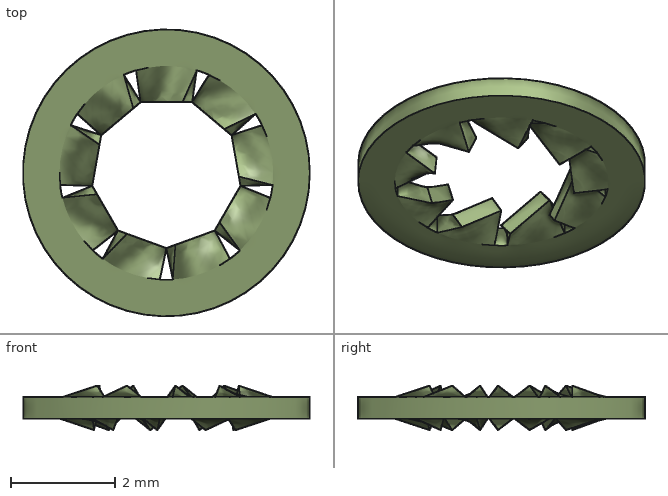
import cadquery as cq
import math

OUTER_RADIUS = 2.75
INNER_RADIUS = 2.045
RING_THICKNESS = 0.42

TOOTH_COUNT = 9
ROOT_WIDTH = 1.165
TIP_DISTANCE = 1.355
TIP_WIDTH = 1.005
TIP_THICKNESS = 0.315
TWIST_ANGLE = 36.9


def root_arc(z):
    """Arc on the ring bore that bounds the root of the +Y tooth at height z."""
    half_width = ROOT_WIDTH / 2
    chord_distance = math.sqrt(INNER_RADIUS**2 - half_width**2)
    return cq.Edge.makeThreePointArc(
        cq.Vector(-half_width, chord_distance, z),
        cq.Vector(0, INNER_RADIUS, z),
        cq.Vector(half_width, chord_distance, z),
    )


def tip_corner(along_width, along_thickness):
    """Corner of the twisted tip rectangle, from its offsets before twisting."""
    twist = math.radians(TWIST_ANGLE)
    x = along_width * math.cos(twist) - along_thickness * math.sin(twist)
    z = along_width * math.sin(twist) + along_thickness * math.cos(twist)
    return cq.Vector(x, TIP_DISTANCE, z)


def tip_edge(along_thickness):
    """Long edge of the tip rectangle."""
    return cq.Edge.makeLine(
        tip_corner(-TIP_WIDTH / 2, along_thickness),
        tip_corner(TIP_WIDTH / 2, along_thickness),
    )


def make_tooth():
    """Tooth on +Y: ruled faces join the curved root to the twisted flat tip."""
    root_top = root_arc(RING_THICKNESS / 2)
    root_bottom = root_arc(-RING_THICKNESS / 2)
    tip_top = tip_edge(TIP_THICKNESS / 2)
    tip_bottom = tip_edge(-TIP_THICKNESS / 2)

    def side_face(end):
        return cq.Face.makeRuledSurface(
            cq.Edge.makeLine(end(root_bottom), end(root_top)),
            cq.Edge.makeLine(end(tip_bottom), end(tip_top)),
        )

    faces = [
        cq.Face.makeRuledSurface(root_bottom, root_top),
        cq.Face.makeRuledSurface(root_top, tip_top),
        cq.Face.makeRuledSurface(root_bottom, tip_bottom),
        cq.Face.makeRuledSurface(tip_bottom, tip_top),
        side_face(cq.Edge.startPoint),
        side_face(cq.Edge.endPoint),
    ]
    return cq.Solid.makeSolid(cq.Shell.makeShell(faces)).fix()


washer = (
    cq.Workplane("XY", origin=(0, 0, -RING_THICKNESS / 2))
    .circle(OUTER_RADIUS)
    .circle(INNER_RADIUS)
    .extrude(RING_THICKNESS)
)
tooth = make_tooth()
for index in range(TOOTH_COUNT):
    angle = index * 360 / TOOTH_COUNT
    washer = washer.union(tooth.rotate((0, 0, 0), (0, 0, 1), angle))
result = cq.Workplane(washer.solids().val())